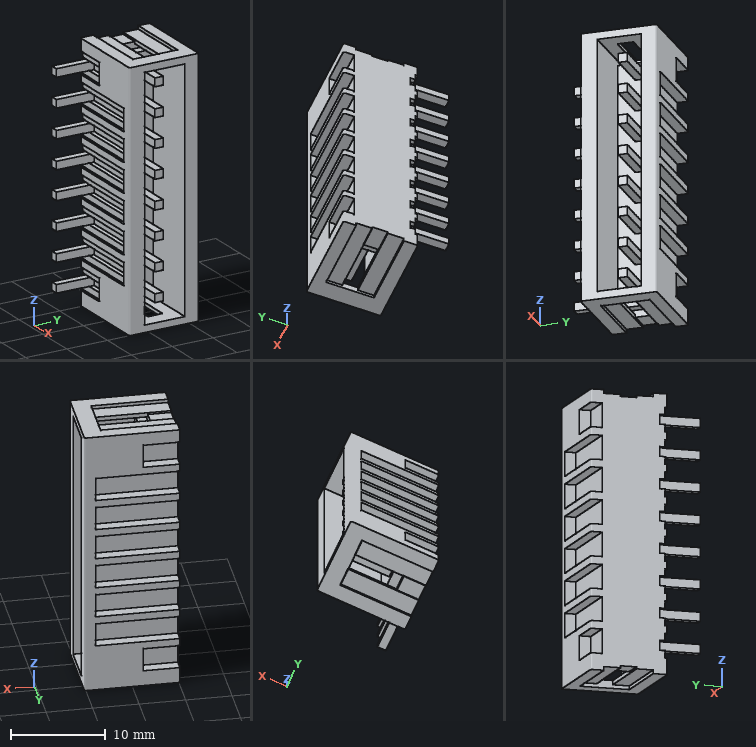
import cadquery as cq

BODY_X = 10.3
BODY_Y = 8.55
BODY_Z = 30.4
CORNER_RADIUS = 0.2

PIN_COUNT = 8
PITCH = 3.5
FIRST_PIN_Z = 3.13
PIN_SIZE = 1.0
PIN_CENTER_Y = 4.35
TAIL_X = 0.5
TAIL_LENGTH = 3.77
SLOT_END_X = 9.1
PIN_TIP_X = SLOT_END_X

SLOT_WIDTH = 2.65
SLOT_DEPTH = 0.3
CHANNEL_WIDTH = 1.05
CHANNEL_DEPTH = 0.88
END_SLOT_X = 3.95
NOTCH_DEPTH = 1.25

END_WALL = 0.88
CAVITY_WIDTH = 4.92
CAVITY_FLOOR_X = 2.55
BASE_TOP_X = 3.65
BASE_END_Z = 1.4

RECESS_X = 8.3
RECESS_WIDTH = 5.47
RECESS_DEPTH = 0.4
WINDOW_WIDTH = 1.75
WINDOW_GROOVE_DEPTH = 0.6

PIN_HEIGHTS = [FIRST_PIN_Z + i * PITCH for i in range(PIN_COUNT)]


def block(x_range, y_range, z_range):
    """Box between the given (low, high) limits."""
    (x0, x1), (y0, y1), (z0, z1) = x_range, y_range, z_range
    return cq.Workplane("XY").box(x1 - x0, y1 - y0, z1 - z0, centered=False).translate((x0, y0, z0))


def around(center, width):
    """Limits of a span centred on a position."""
    return center - width / 2, center + width / 2


def housing():
    body = block((0, BODY_X), (0, BODY_Y), (0, BODY_Z))
    return body.edges("|Z").fillet(CORNER_RADIUS)


def cavity():
    span_y = around(PIN_CENTER_Y, CAVITY_WIDTH)
    space = block((CAVITY_FLOOR_X, BODY_X), span_y, (END_WALL, BODY_Z - END_WALL))
    base = block((CAVITY_FLOOR_X, BASE_TOP_X), span_y, (BASE_END_Z, BODY_Z - BASE_END_Z))
    return space.cut(base)


def end_recess(end_z, inward):
    """Stepped recess at one housing end; inward is the Z direction into the part."""

    def pocket(x_range, width, depth):
        z_range = sorted((end_z, end_z + inward * depth))
        return block(x_range, around(PIN_CENTER_Y, width), z_range)

    recess = pocket((0, RECESS_X), RECESS_WIDTH, RECESS_DEPTH)
    groove = pocket((0, RECESS_X), WINDOW_WIDTH, WINDOW_GROOVE_DEPTH)
    window = pocket((CAVITY_FLOOR_X, RECESS_X), WINDOW_WIDTH, END_WALL)
    return recess.union(groove).union(window)


def wall_slots(index):
    """Slot, inner channel and opposite notch at one contact; shorter in X at both ends of the row."""
    z = PIN_HEIGHTS[index]
    is_end = index in (0, PIN_COUNT - 1)
    span_x = (0, END_SLOT_X if is_end else SLOT_END_X)
    slot = block(span_x, (0, SLOT_DEPTH), around(z, SLOT_WIDTH))
    channel = block(span_x, (0, CHANNEL_DEPTH), around(z, CHANNEL_WIDTH))
    notch = block(span_x, (BODY_Y - NOTCH_DEPTH, BODY_Y), around(z, SLOT_WIDTH))
    return slot.union(channel).union(notch)


def pin(z):
    """Right-angle square contact: blade along X, tail along -Y."""
    span_y = around(PIN_CENTER_Y, PIN_SIZE)
    span_z = around(z, PIN_SIZE)
    blade = block((TAIL_X, PIN_TIP_X), span_y, span_z)
    tail = block((TAIL_X, TAIL_X + PIN_SIZE), (-TAIL_LENGTH, span_y[1]), span_z)
    return blade.union(tail)


result = housing().cut(cavity())
result = result.cut(end_recess(0, 1)).cut(end_recess(BODY_Z, -1))
for pin_index in range(PIN_COUNT):
    result = result.cut(wall_slots(pin_index))
for pin_z in PIN_HEIGHTS:
    result = result.union(pin(pin_z))